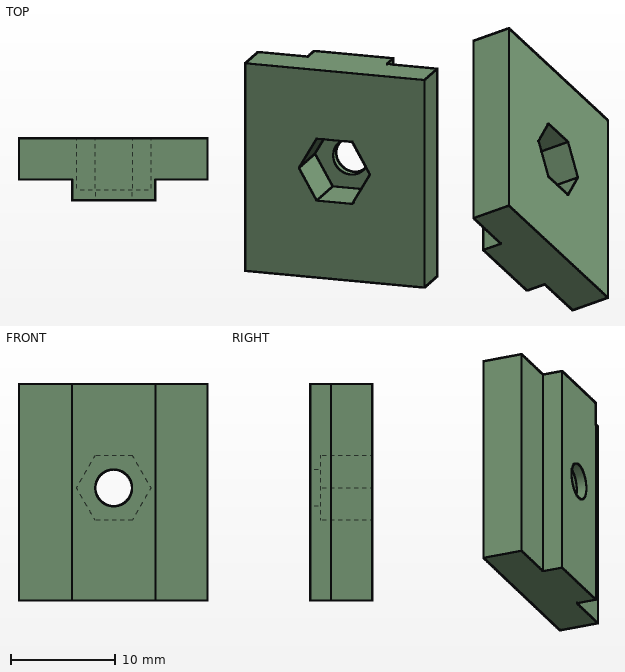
import cadquery as cq
import math

width = 18.1
depth = 6.0
height = 20.85

tongue_center = 0.05
tongue_width = 8.0
tongue_depth = 2.0
plate_depth = depth - tongue_depth

hole_diameter = 3.5
hole_height = 10.84
hole_length = 1.0
nut_across_flats = 6.2
nut_across_corners = nut_across_flats / math.cos(math.pi / 6)
pocket_depth = depth - hole_length


def make_body():
    """T-shaped section: the tongue projects from the plate toward -Y."""
    plate = cq.Workplane("XY").box(width, plate_depth, height, centered=(True, False, False))
    tongue = (
        cq.Workplane("XY")
        .box(tongue_width, tongue_depth, height, centered=(True, False, False))
        .translate((tongue_center, -tongue_depth, 0))
    )
    return plate.union(tongue)


def make_screw_hole():
    """Round cutter through the full depth."""
    return (
        cq.Workplane("XZ", origin=(tongue_center, plate_depth, hole_height))
        .circle(hole_diameter / 2)
        .extrude(depth)
    )


def make_nut_pocket():
    """Hexagonal cutter, open at the back, with flats at top and bottom."""
    return (
        cq.Workplane("XZ", origin=(tongue_center, plate_depth, hole_height))
        .polygon(6, nut_across_corners)
        .extrude(pocket_depth)
    )


result = make_body().cut(make_screw_hole()).cut(make_nut_pocket())